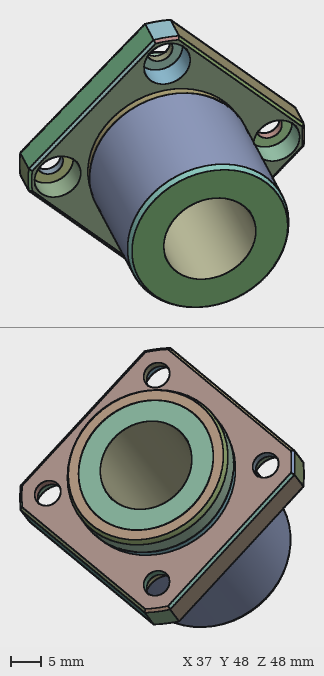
import cadquery as cq
import math


sleeve_length = 37.0
sleeve_radius = 28.0 / 2
bore_radius = 16.0 / 2
end_round_length = 1.0
end_round_depth = 0.5
end_round_radius = 3.2

recess_radius = 23.5 / 2
recess_depth = 0.1

groove_width = 1.75
groove_depth = 0.4
groove_low_offset = 0.65

flange_start = 6.0
flange_thickness = 6.0
flange_corner_radius = 24.0
corner_half_width = 2.2
flange_bevel = 0.5

hole_diameter = 4.5
counterbore_diameter = 8.0
counterbore_depth = 4.4
hole_circle_radius = 19.0
hole_count = 4

flange_end = flange_start + flange_thickness
end_face_radius = sleeve_radius - end_round_depth

groove_low_radius = sleeve_radius - groove_depth
groove_run = groove_width - groove_low_offset
groove_arc_radius = (groove_run**2 + groove_depth**2) / (2 * groove_depth)
groove_flange_rise = groove_arc_radius - math.sqrt(groove_arc_radius**2 - groove_low_offset**2)
groove_flange_radius = groove_low_radius + groove_flange_rise


def make_sleeve():
    """Revolve the tube with softly rounded ends, a recessed short end and two grooves."""
    left_low_point = (flange_start - groove_low_offset, groove_low_radius)
    right_low_point = (flange_end + groove_low_offset, groove_low_radius)
    profile = (
        cq.Workplane("XY")
        .moveTo(recess_depth, bore_radius)
        .lineTo(recess_depth, recess_radius)
        .lineTo(0, recess_radius)
        .lineTo(0, end_face_radius)
        .radiusArc((end_round_length, sleeve_radius), end_round_radius)
        .lineTo(flange_start - groove_width, sleeve_radius)
        .threePointArc(left_low_point, (flange_start, groove_flange_radius))
        .lineTo(flange_end, groove_flange_radius)
        .threePointArc(right_low_point, (flange_end + groove_width, sleeve_radius))
        .lineTo(sleeve_length - end_round_length, sleeve_radius)
        .radiusArc((sleeve_length, end_face_radius), end_round_radius)
        .lineTo(sleeve_length, bore_radius)
        .close()
    )
    return profile.revolve(360, (0, 0, 0), (1, 0, 0))


def make_flange():
    """Extrude the round-cornered diamond, bevel its rims and cut the sleeve's passage."""
    corner_reach = math.sqrt(flange_corner_radius**2 - corner_half_width**2)
    square_side = math.sqrt(2) * (corner_reach + corner_half_width)
    base = cq.Workplane("YZ", origin=(flange_start, 0, 0))
    diamond = base.transformed(rotate=(0, 0, 45)).rect(square_side, square_side).extrude(flange_thickness)
    disc = base.circle(flange_corner_radius).extrude(flange_thickness)
    plate = diamond.intersect(disc).faces("<X or >X").chamfer(flange_bevel)
    passage = base.circle(bore_radius).extrude(flange_thickness)
    return plate.cut(passage)


def drill_mounting_holes(body):
    """Cut the counterbored holes, one towards each corner of the flange."""
    return (
        body.copyWorkplane(cq.Workplane("YZ", origin=(flange_end, 0, 0)))
        .polarArray(hole_circle_radius, 0, 360, hole_count)
        .cboreHole(hole_diameter, counterbore_diameter, counterbore_depth, flange_thickness)
    )


result = drill_mounting_holes(make_sleeve().union(make_flange()))